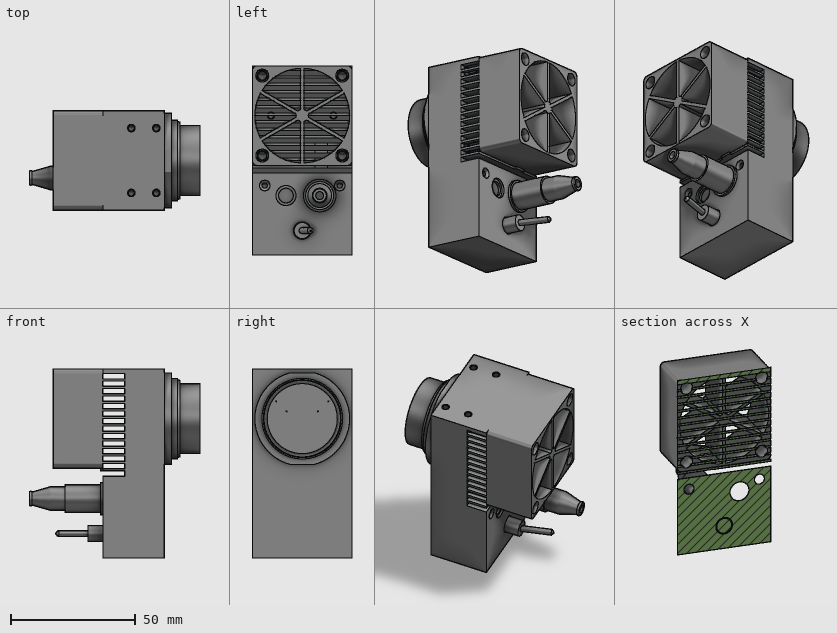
import cadquery as cq
import math


HEIGHT = 76.0
WIDTH = 40.0
BODY_DEPTH = 24.6
FAN_DEPTH = 20.0
FAN_CORNER_RADIUS = 1.9
FAN_CENTRE_Z = HEIGHT - WIDTH / 2

SLOT_COUNT = 14
FIN_STACK_HEIGHT = 41.05
FIN_THICKNESS = 1.0
SLOT_HEIGHT = (FIN_STACK_HEIGHT - (SLOT_COUNT - 1) * FIN_THICKNESS) / SLOT_COUNT
FIN_PITCH = SLOT_HEIGHT + FIN_THICKNESS
SLOT_DEPTH = 8.7
TOP_PLATE = 2.0
FIRST_TAB_FIN = 9
TAB_REACH = 1.0
TAB_WIDTH = 5.0
TAB_Y = -7.5

GUARD_RADIUS = 19.0
HUB_RADIUS = 2.5
SPOKE_COUNT = 6
SPOKE_WIDTH = 1.4

FAN_HOLE_OFFSET = 16.0
FAN_HOLE_RADIUS = 2.6
FAN_SCREW_RADIUS = 1.75
FAN_SCREW_MOUTH_RADIUS = 2.0
FAN_SCREW_DEPTH = 6.1
FIN_CLEARANCE_RADIUS = 2.3

LENS_HOLE_OFFSET = 12.55
LENS_HOLE_RADIUS = 1.2
LENS_HOLE_MOUTH_RADIUS = 1.45
LENS_HOLE_DEPTH = 3.8

TOP_HOLE_X = (11.4, 21.4)
TOP_HOLE_Y = 13.0
TOP_HOLE_RADIUS = 1.2
TOP_HOLE_MOUTH_RADIUS = 1.5
TOP_HOLE_DEPTH = 6.1

COVER_SCREW_Y = 15.05
COVER_SCREW_Z = 28.0
COVER_SCREW_RADIUS = 1.1
COVER_SCREW_MOUTH_RADIUS = 2.1
COVER_SCREW_DEPTH = 4.55

FLANGE_RADIUS = 19.0
FLANGE_HALF_HEIGHT = 18.4
FLANGE_END = 3.0
COLLAR_RADIUS = 16.2
COLLAR_END = 5.3
LIP_RADIUS = 15.65
LIP_TIP_RADIUS = 15.35
LIP_END = 6.4
BARREL_RADIUS = 14.05
BARREL_END = 14.4

CONNECTOR_Y = -7.0
CONNECTOR_Z = 23.95
WASHER_RADIUS = 6.5
WASHER_LENGTH = 1.0
PLUG_RADIUS = 5.6
PLUG_END = 15.1
SLEEVE_RADIUS = 4.8
SLEEVE_END = 21.0
TAPER_TIP_RADIUS = 2.65
TAPER_END = 28.4
BEAD_RADIUS = 3.0
CONNECTOR_LENGTH = 29.5
CABLE_BORE_RADIUS = 1.6
CABLE_BORE_DEPTH = 7.6
SOCKET_Y = 6.5
SOCKET_RADIUS = 4.0
SOCKET_INNER_RADIUS = 3.0
SOCKET_STEP = 1.0

SWITCH_Z = 9.9
BUSHING_RADIUS = 3.3
BUSHING_LENGTH = 6.1
BUSHING_HOLE_RADIUS = 3.5
BUSHING_HOLE_DEPTH = 1.0
LEVER_RADIUS = 1.2
LEVER_LENGTH = 13.2
LEVER_TIP_LENGTH = 0.9
LEVER_TIP_RADIUS = 0.3
LEVER_ROOT = 1.5
LEVER_TILT = 15.0


def turned(profile, origin, direction):
    """Revolve a closed profile of (distance along the axis, radius) points about its axis."""
    across = cq.Vector(0, 0, 1) if abs(direction[2]) < 0.5 else cq.Vector(0, 1, 0)
    normal = cq.Vector(*direction).cross(across)
    plane = cq.Plane(origin=origin, xDir=direction, normal=normal.toTuple())
    return cq.Workplane(plane).polyline(profile).close().revolve(360, (0, 0), (1, 0))


def stepped(steps, origin, direction):
    """Turned part from cylindrical steps of (end distance, radius)."""
    profile = [(0, 0)]
    start = 0
    for end, radius in steps:
        profile += [(start, radius), (end, radius)]
        start = end
    return turned(profile + [(start, 0)], origin, direction)


def drilled(radius, depth, mouth_radius, origin, direction):
    """Blind hole with a 45 degree countersunk mouth and a 45 degree drill point."""
    profile = [
        (0, 0),
        (0, mouth_radius),
        (mouth_radius - radius, radius),
        (depth, radius),
        (depth + radius, 0),
    ]
    return turned(profile, origin, direction)


def fin_top(index):
    """Height of the upper face of a fin, which is also the floor of the slot above it."""
    return HEIGHT - TOP_PLATE - SLOT_HEIGHT - index * FIN_PITCH


def finned_body():
    """Main block with the row of slots that leaves the heat-sink fins."""
    body = cq.Workplane("XY").box(BODY_DEPTH, WIDTH, HEIGHT, centered=(False, True, False))
    for index in range(SLOT_COUNT):
        slot = cq.Workplane("XY").box(SLOT_DEPTH, WIDTH, SLOT_HEIGHT, centered=(False, True, False))
        body = body.cut(slot.translate((0, 0, fin_top(index))))
    return body


def fin_tabs():
    """Small tabs on the lowest fins that reach out past the body face."""
    tabs = cq.Workplane("XY")
    for index in range(FIRST_TAB_FIN, SLOT_COUNT - 1):
        tab = cq.Workplane("XY").box(2 * TAB_REACH, TAB_WIDTH, FIN_THICKNESS)
        tabs = tabs.add(tab.translate((0, TAB_Y, fin_top(index) - FIN_THICKNESS / 2)))
    return tabs.combine()


def fan():
    """Square fan frame with round air opening, spokes, hub and corner holes."""
    face = cq.Plane(origin=(0, 0, FAN_CENTRE_Z), xDir=(0, 1, 0), normal=(-1, 0, 0))
    frame = cq.Workplane(face).rect(WIDTH, WIDTH).extrude(FAN_DEPTH).edges("|X").fillet(FAN_CORNER_RADIUS)
    opening = cq.Workplane(face).circle(GUARD_RADIUS).circle(HUB_RADIUS).extrude(FAN_DEPTH)
    for index in range(SPOKE_COUNT // 2):
        spoke = cq.Workplane(face).transformed(rotate=(0, 0, 90 + index * 360 / SPOKE_COUNT))
        opening = opening.cut(spoke.rect(2 * WIDTH, SPOKE_WIDTH).extrude(FAN_DEPTH))
    spacing = 2 * FAN_HOLE_OFFSET
    corners = cq.Workplane(face).rect(spacing, spacing, forConstruction=True).vertices()
    return frame.cut(opening).cut(corners.circle(FAN_HOLE_RADIUS).extrude(FAN_DEPTH))


def body_holes():
    """Blind screw holes; the fan screws pass the fins and are tapped into the slot floor."""
    holes = cq.Workplane("XY")
    for side in (-1, 1):
        for level in (-1, 1):
            clearance_start = (0, side * FAN_HOLE_OFFSET, FAN_CENTRE_Z + level * FAN_HOLE_OFFSET)
            holes = holes.add(stepped([(SLOT_DEPTH, FIN_CLEARANCE_RADIUS)], clearance_start, (1, 0, 0)))
            origin = (SLOT_DEPTH, *clearance_start[1:])
            holes = holes.add(
                drilled(FAN_SCREW_RADIUS, FAN_SCREW_DEPTH, FAN_SCREW_MOUTH_RADIUS, origin, (1, 0, 0))
            )
        for x in TOP_HOLE_X:
            origin = (x, side * TOP_HOLE_Y, HEIGHT)
            holes = holes.add(
                drilled(TOP_HOLE_RADIUS, TOP_HOLE_DEPTH, TOP_HOLE_MOUTH_RADIUS, origin, (0, 0, -1))
            )
        origin = (SLOT_DEPTH, side * LENS_HOLE_OFFSET, FAN_CENTRE_Z)
        holes = holes.add(
            drilled(LENS_HOLE_RADIUS, LENS_HOLE_DEPTH, LENS_HOLE_MOUTH_RADIUS, origin, (1, 0, 0))
        )
        origin = (0, side * COVER_SCREW_Y, COVER_SCREW_Z)
        holes = holes.add(
            drilled(COVER_SCREW_RADIUS, COVER_SCREW_DEPTH, COVER_SCREW_MOUTH_RADIUS, origin, (1, 0, 0))
        )
    return holes.combine()


def socket():
    """Two-step round recess beside the cable connector."""
    steps = [(SOCKET_STEP, SOCKET_RADIUS), (2 * SOCKET_STEP, SOCKET_INNER_RADIUS)]
    return stepped(steps, (0, SOCKET_Y, CONNECTOR_Z), (1, 0, 0))


def lens():
    """Flange with flats above and below, collar with a tapered lip, and barrel."""
    face = cq.Plane(origin=(BODY_DEPTH, 0, FAN_CENTRE_Z), xDir=(0, 1, 0), normal=(1, 0, 0))
    flats = cq.Workplane(face).rect(2 * FLANGE_RADIUS, 2 * FLANGE_HALF_HEIGHT).extrude(FLANGE_END)
    flange = cq.Workplane(face).circle(FLANGE_RADIUS).extrude(FLANGE_END).intersect(flats)
    profile = [
        (0, 0),
        (0, COLLAR_RADIUS),
        (COLLAR_END, COLLAR_RADIUS),
        (COLLAR_END, LIP_RADIUS),
        (LIP_END, LIP_TIP_RADIUS),
        (LIP_END, BARREL_RADIUS),
        (BARREL_END, BARREL_RADIUS),
        (BARREL_END, 0),
    ]
    return flange.union(turned(profile, (BODY_DEPTH, 0, FAN_CENTRE_Z), (1, 0, 0)))


def connector():
    """Washer, plug, sleeve and tapered strain relief that ends in a bored round bead."""
    bead_middle = (TAPER_END + CONNECTOR_LENGTH) / 2
    plane = cq.Plane(origin=(0, CONNECTOR_Y, CONNECTOR_Z), xDir=(-1, 0, 0), normal=(0, 1, 0))
    outline = (
        cq.Workplane(plane)
        .moveTo(0, 0)
        .lineTo(0, WASHER_RADIUS)
        .lineTo(WASHER_LENGTH, WASHER_RADIUS)
        .lineTo(WASHER_LENGTH, PLUG_RADIUS)
        .lineTo(PLUG_END, PLUG_RADIUS)
        .lineTo(PLUG_END, SLEEVE_RADIUS)
        .lineTo(SLEEVE_END, SLEEVE_RADIUS)
        .lineTo(TAPER_END, TAPER_TIP_RADIUS)
        .threePointArc((bead_middle, BEAD_RADIUS), (CONNECTOR_LENGTH, TAPER_TIP_RADIUS))
        .lineTo(CONNECTOR_LENGTH, 0)
        .close()
    )
    bore_bottom = (CABLE_BORE_DEPTH - CONNECTOR_LENGTH, CONNECTOR_Y, CONNECTOR_Z)
    bore = stepped([(CABLE_BORE_DEPTH, CABLE_BORE_RADIUS)], bore_bottom, (-1, 0, 0))
    return outline.revolve(360, (0, 0), (1, 0)).cut(bore)


def switch():
    """Bushing with a tilted lever."""
    bushing_base = (BUSHING_HOLE_DEPTH, 0, SWITCH_Z)
    bushing = stepped([(BUSHING_LENGTH + BUSHING_HOLE_DEPTH, BUSHING_RADIUS)], bushing_base, (-1, 0, 0))
    tilt = math.radians(LEVER_TILT)
    profile = [
        (-LEVER_ROOT, 0),
        (-LEVER_ROOT, LEVER_RADIUS),
        (LEVER_LENGTH - LEVER_TIP_LENGTH, LEVER_RADIUS),
        (LEVER_LENGTH, LEVER_TIP_RADIUS),
        (LEVER_LENGTH, 0),
    ]
    lever = turned(profile, (-BUSHING_LENGTH, 0, SWITCH_Z), (-math.cos(tilt), -math.sin(tilt), 0))
    return bushing.union(lever)


bushing_hole = stepped([(BUSHING_HOLE_DEPTH, BUSHING_HOLE_RADIUS)], (0, 0, SWITCH_Z), (1, 0, 0))
body = finned_body().cut(body_holes()).cut(socket()).cut(bushing_hole)
result = body.union(fin_tabs()).union(fan()).union(lens()).union(connector()).union(switch())